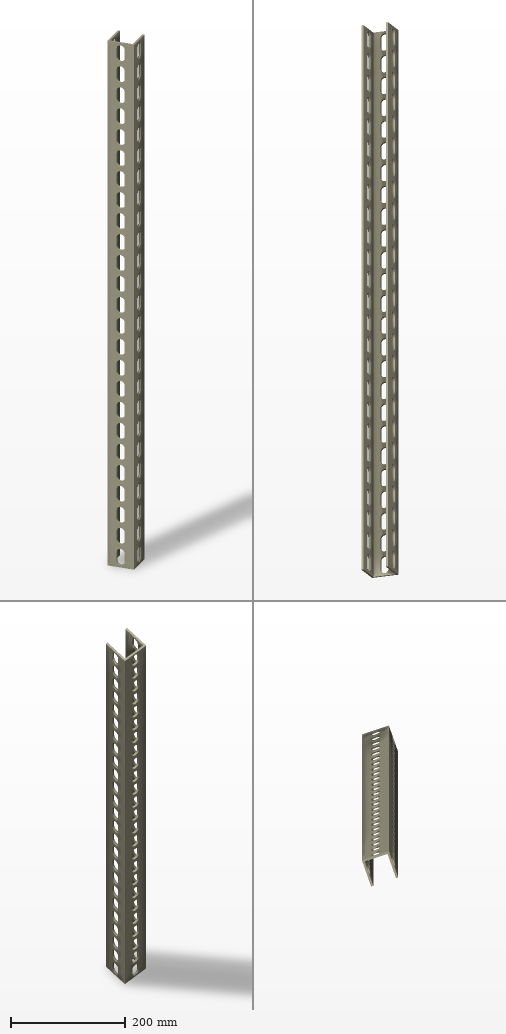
import cadquery as cq

width = 50.0
depth = 50.0
length = 1000.0
wall = 4.0

slot_pitch = 40.0
slot_length = 31.0
slot_width = 15.0
slot_count = int(length // slot_pitch)


def make_channel():
    """Extrude the U section along Z, with the section centred on the Z axis."""
    outer = cq.Workplane("XY").rect(width, depth).extrude(length)
    cavity = (
        cq.Workplane("XY")
        .center(0, wall)
        .rect(width - 2 * wall, depth)
        .extrude(length)
    )
    return outer.cut(cavity)


def slot_row(plane, start_offset, cut_depth):
    """Solid cutters for one evenly spaced row of slots, centred along the length."""
    slot_angle = 90
    return (
        cq.Workplane(plane)
        .workplane(offset=start_offset)
        .center(0, length / 2)
        .rarray(1, slot_pitch, 1, slot_count)
        .slot2D(slot_length, slot_width, slot_angle)
        .extrude(cut_depth)
    )


web_slots = slot_row("XZ", depth / 2 - wall, wall)
flange_slots = slot_row("YZ", -width / 2, width)

result = make_channel().cut(web_slots).cut(flange_slots)